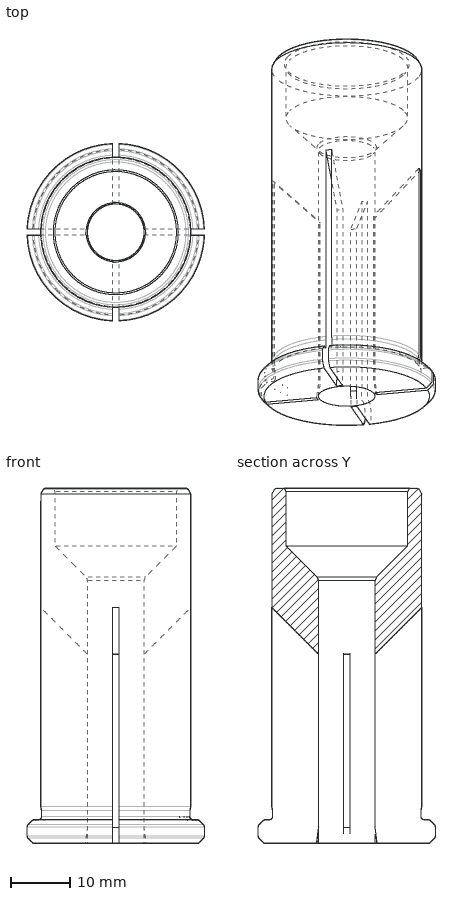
import cadquery as cq

total_height = 60.0
flange_radius = 15.0
sleeve_radius = 25.4 / 2

flange_height = 4.0
flange_chamfer = 1.0
edge_fillet = 0.5

relief_depth = 0.1
relief_top = 5.6
relief_taper = 0.6
neck_radius = sleeve_radius - relief_depth

rim_chamfer_height = 0.95
rim_chamfer_width = 0.55
socket_mouth_chamfer_height = 0.6
socket_mouth_chamfer_width = 0.3

bore_radius = 9.55 / 2
cone_small_radius = 10.0 / 2
socket_radius = 20.5 / 2
socket_depth = 9.8
socket_floor = total_height - socket_depth
cone_bottom = socket_floor - (socket_radius - cone_small_radius)
throat_height = 0.6

slot_count = 4
slot_width = 1.0
slot_top = 39.85
lip_height = 2.7
lip_run = 0.35


def revolve_profile(outline):
    """Turn a closed (radius, height) outline about the Z axis."""
    return cq.Workplane("XZ").polyline(outline).close().revolve(360, (0, 0), (0, 1))


def circles_at(height):
    """Select every circular edge lying at one height."""
    reach = 0.03
    return cq.selectors.BoxSelector(
        (-flange_radius, -flange_radius, height - reach),
        (flange_radius, flange_radius, height + reach),
    )


def make_body():
    """Turned sleeve with a chamfered flange and rounded transitions."""
    flange_flat_radius = flange_radius - flange_chamfer
    rim_radius = sleeve_radius - rim_chamfer_width
    body = revolve_profile([
        (0, 0),
        (flange_flat_radius, 0),
        (flange_radius, flange_chamfer),
        (flange_radius, flange_height - flange_chamfer),
        (flange_flat_radius, flange_height),
        (neck_radius, flange_height),
        (neck_radius, relief_top),
        (sleeve_radius, relief_top + relief_taper),
        (sleeve_radius, total_height - rim_chamfer_height),
        (rim_radius, total_height),
        (0, total_height),
    ])
    rounded_heights = [
        flange_chamfer,
        flange_height - flange_chamfer,
        flange_height,
        total_height,
    ]
    for height in rounded_heights:
        body = body.edges(circles_at(height)).fillet(edge_fillet)
    return body


def make_bore():
    """Through bore opening by a cone into a wide socket with a chamfered mouth."""
    return revolve_profile([
        (0, 0),
        (bore_radius, 0),
        (bore_radius, cone_bottom - throat_height),
        (cone_small_radius, cone_bottom),
        (socket_radius, socket_floor),
        (socket_radius, total_height - socket_mouth_chamfer_height),
        (socket_radius + socket_mouth_chamfer_width, total_height),
        (0, total_height),
    ])


def make_slot():
    """One radial slot with a 45 degree upper end and a steep lip at its foot."""
    outer_end = slot_top + flange_radius - sleeve_radius
    axis_end = slot_top - sleeve_radius
    outline = [
        (0, lip_height),
        (bore_radius, lip_height),
        (bore_radius + lip_run, 0),
        (flange_radius, 0),
        (flange_radius, outer_end),
        (0, axis_end),
    ]
    return cq.Workplane("XZ").polyline(outline).close().extrude(slot_width / 2, both=True)


result = make_body().cut(make_bore())
for index in range(slot_count):
    angle = index * 360 / slot_count
    result = result.cut(make_slot().rotate((0, 0, 0), (0, 0, 1), angle))